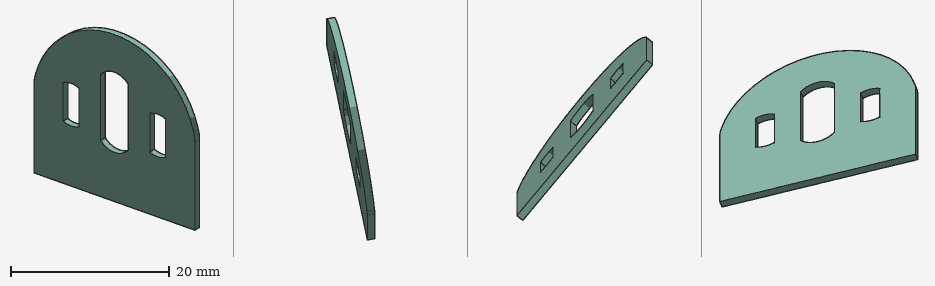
import cadquery as cq
import math

width = 26.0
height = 23.6
thickness = 1.0
crown_radius = 13.29
shoulder_radius = 5.0

slot_end_radius = 3.0
center_slot_width = 4.5
center_slot_height = 11.3
center_slot_z = 12.6
side_slot_width = 2.52
side_slot_height = 6.0
side_slot_z = 11.52
side_slot_offset = 7.0


def plate():
    """Flat plate with a domed top, standing on the XY plane and centered on Y."""
    half_width = width / 2
    crown_z = height - crown_radius

    shoulder_x = half_width - shoulder_radius
    center_distance = crown_radius - shoulder_radius
    shoulder_z = crown_z + math.sqrt(center_distance**2 - shoulder_x**2)
    blend_angle = math.atan2(shoulder_z - crown_z, shoulder_x)
    crown_end_x = crown_radius * math.cos(blend_angle)
    crown_end_z = crown_z + crown_radius * math.sin(blend_angle)
    shoulder_mid_x = shoulder_x + shoulder_radius * math.cos(blend_angle / 2)
    shoulder_mid_z = shoulder_z + shoulder_radius * math.sin(blend_angle / 2)

    return (
        cq.Workplane("XZ")
        .moveTo(-half_width, 0)
        .lineTo(half_width, 0)
        .lineTo(half_width, shoulder_z)
        .threePointArc((shoulder_mid_x, shoulder_mid_z), (crown_end_x, crown_end_z))
        .threePointArc((0, height), (-crown_end_x, crown_end_z))
        .threePointArc((-shoulder_mid_x, shoulder_mid_z), (-half_width, shoulder_z))
        .close()
        .extrude(thickness / 2, both=True)
    )


def slot_cutter(x, z, slot_width, slot_height):
    """Upright slot with arced ends, centered at (x, z) and longer than the plate is thick."""
    half_width = slot_width / 2
    half_height = slot_height / 2
    arc_rise = slot_end_radius - math.sqrt(slot_end_radius**2 - half_width**2)
    side_end = half_height - arc_rise
    return (
        cq.Workplane("XZ", origin=(x, 0, z))
        .moveTo(-half_width, -side_end)
        .threePointArc((0, -half_height), (half_width, -side_end))
        .lineTo(half_width, side_end)
        .threePointArc((0, half_height), (-half_width, side_end))
        .close()
        .extrude(thickness, both=True)
    )


result = plate().cut(slot_cutter(0, center_slot_z, center_slot_width, center_slot_height))
for x in (-side_slot_offset, side_slot_offset):
    result = result.cut(slot_cutter(x, side_slot_z, side_slot_width, side_slot_height))